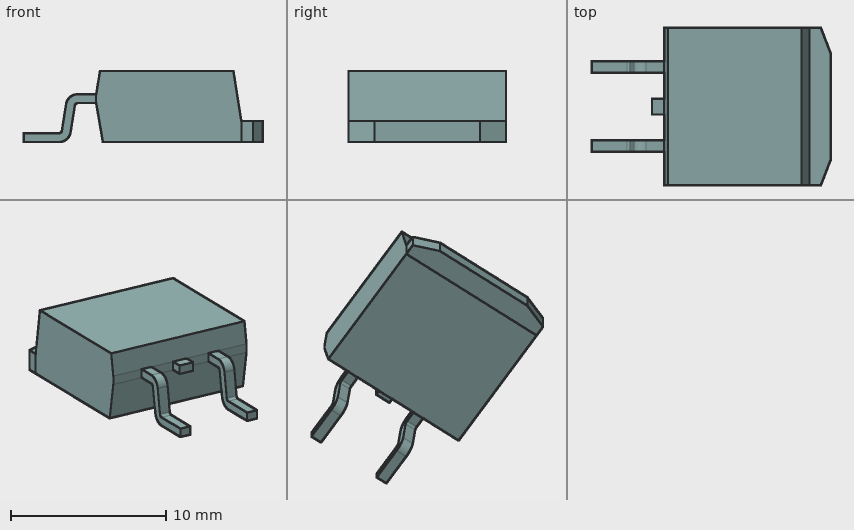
import cadquery as cq
import math


overall_length = 15.42
width = 10.16
height = 4.6

lead_thickness = 0.59
lead_top = 3.1
lead_bottom = lead_top - lead_thickness
lead_width = 0.75
lead_offset = 2.55
foot_corner_x = 2.44
web_tilt = math.radians(9.0)
inner_bend_radius = 0.19
outer_bend_radius = inner_bend_radius + lead_thickness
stub_tip_x = 3.89
stub_width = 1.03

housing_front_x = 4.67
front_top_x = 4.92
front_bottom_x = 5.1
housing_back_x = 14.03
back_top_x = 13.52

tab_height = 1.37
tab_corner_x = 14.77
tab_corner_width = 1.68


def extrude_profile(points, body_width, center_y=0.0):
    """Extrude an X-Z outline symmetrically about the plane Y = center_y."""
    plane = cq.Workplane("XZ", origin=(0, center_y, 0))
    return plane.polyline(points).close().extrude(body_width / 2, both=True)


def make_housing():
    """Moulded block, vertical at the lead band in front and below the tab top at the back."""
    return extrude_profile(
        [
            (front_bottom_x, 0),
            (housing_back_x, 0),
            (housing_back_x, tab_height),
            (back_top_x, height),
            (front_top_x, height),
            (housing_front_x, lead_top),
            (housing_front_x, lead_bottom),
        ],
        width,
    )


def make_tab():
    """Flat tab against the back of the housing, with its outer corners cut off."""
    half_width = width / 2
    half_end = half_width - tab_corner_width
    outline = [
        (housing_back_x, -half_width),
        (tab_corner_x, -half_width),
        (overall_length, -half_end),
        (overall_length, half_end),
        (tab_corner_x, half_width),
        (housing_back_x, half_width),
    ]
    return cq.Workplane("XY").polyline(outline).close().extrude(tab_height)


def make_lead(center_y):
    """Gull-wing lead: foot, leaning web and shoulder joined by round bends."""
    web_run = lead_thickness / math.cos(web_tilt)
    lean = math.tan(web_tilt)

    def web_front_x(z):
        return foot_corner_x + (z - lead_thickness) * lean

    foot_outer = (web_front_x(0) + web_run, 0)
    foot_inner = (foot_corner_x, lead_thickness)
    shoulder_outer = (web_front_x(lead_top), lead_top)
    shoulder_inner = (web_front_x(lead_bottom) + web_run, lead_bottom)
    lead = extrude_profile(
        [
            (0, 0),
            foot_outer,
            shoulder_inner,
            (housing_front_x, lead_bottom),
            (housing_front_x, lead_top),
            shoulder_outer,
            foot_inner,
            (0, lead_thickness),
        ],
        lead_width,
        center_y,
    )

    bends = [
        (foot_outer, outer_bend_radius),
        (shoulder_outer, outer_bend_radius),
        (foot_inner, inner_bend_radius),
        (shoulder_inner, inner_bend_radius),
    ]
    for (x, z), radius in bends:
        corner = cq.selectors.NearestToPointSelector((x, center_y, z))
        lead = lead.edges("|Y").edges(corner).fillet(radius)
    return lead


def make_stub():
    """Short cut-off centre lead against the front face of the housing."""
    return extrude_profile(
        [
            (stub_tip_x, lead_bottom),
            (housing_front_x, lead_bottom),
            (housing_front_x, lead_top),
            (stub_tip_x, lead_top),
        ],
        stub_width,
    )


housing = make_housing()
tab = make_tab()
stub = make_stub()
leads = [make_lead(side * lead_offset) for side in (-1, 1)]

result = cq.Compound.makeCompound(
    [housing.val(), tab.val(), stub.val(), *[lead.val() for lead in leads]]
)